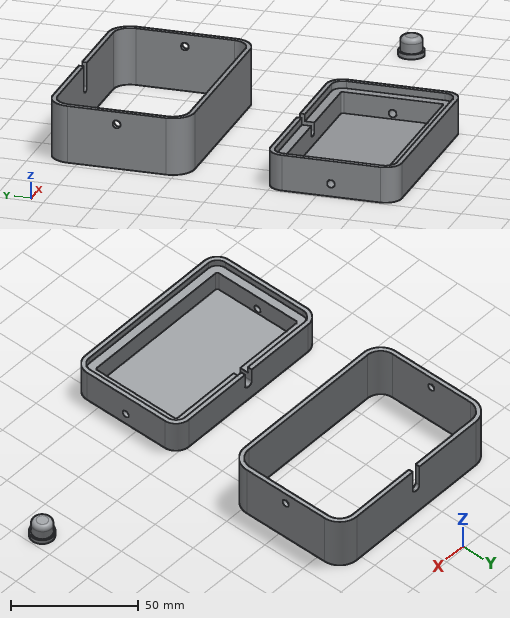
import cadquery as cq

TRAY_LENGTH = 84.4
TRAY_WIDTH = 54.3
TRAY_HEIGHT = 15.0
TRAY_CORNER_RADIUS = 6.8
LIP_THICKNESS = 2.0
LEDGE_DEPTH = 3.0
POCKET_WALL = 6.0
POCKET_CORNER_RADIUS = 1.0
FLOOR_THICKNESS = 3.0
TRAY_PIN_HOLE_Z = 5.4
TRAY_SLOT_DEPTH = 8.0

FRAME_LENGTH = 88.6
FRAME_WIDTH = 58.8
FRAME_HEIGHT = 24.0
FRAME_CORNER_RADIUS = 9.0
FRAME_WALL = 2.0
FRAME_PIN_HOLE_Z = 18.8
FRAME_SLOT_DEPTH = 11.8

PIN_HOLE_DIAMETER = 3.2
SLOT_WIDTH = 4.0
SLOT_CORNER_DIAMETER = 3.6

FLANGE_DIAMETER = 10.6
FLANGE_HEIGHT = 2.0
STEM_DIAMETER = 9.0
BUTTON_HEIGHT = 8.2
BUTTON_ROUNDING = 2.0

OVERALL_LENGTH = 158.0
OVERALL_WIDTH = 145.8
FRAME_SHIFT = 1.9
FRAME_X = FRAME_SHIFT + (FRAME_LENGTH - TRAY_LENGTH) / 2
FRAME_Y = OVERALL_WIDTH - (TRAY_WIDTH + FRAME_WIDTH) / 2
BUTTON_X = OVERALL_LENGTH - (TRAY_LENGTH + FLANGE_DIAMETER) / 2
BUTTON_Y = 16.5


def rounded_block(length, width, height, radius, base_z=0):
    """Upright block with rounded vertical edges."""
    block = cq.Workplane("XY").workplane(offset=base_z).rect(length, width).extrude(height)
    return block.edges("|Z").fillet(radius)


def pin_hole_cutter(length, z):
    """Cylinder along X that pierces both end walls."""
    start = cq.Workplane("YZ").workplane(offset=-length / 2)
    return start.center(0, z).circle(PIN_HOLE_DIAMETER / 2).extrude(length)


def cable_slot_cutter(width, height, depth):
    """Slot with rounded bottom corners through the +Y wall, open at the top."""
    middle = height - depth / 2
    section = cq.Workplane("XZ").center(0, middle).rect(SLOT_WIDTH, depth)
    slot = section.extrude(-width / 2)
    return slot.faces("<Z").edges("|Y").fillet(SLOT_CORNER_DIAMETER / 2)


def make_tray():
    body = rounded_block(TRAY_LENGTH, TRAY_WIDTH, TRAY_HEIGHT, TRAY_CORNER_RADIUS)
    lip_recess = rounded_block(
        TRAY_LENGTH - 2 * LIP_THICKNESS,
        TRAY_WIDTH - 2 * LIP_THICKNESS,
        LEDGE_DEPTH,
        TRAY_CORNER_RADIUS - LIP_THICKNESS,
        TRAY_HEIGHT - LEDGE_DEPTH,
    )
    pocket = rounded_block(
        TRAY_LENGTH - 2 * POCKET_WALL,
        TRAY_WIDTH - 2 * POCKET_WALL,
        TRAY_HEIGHT - FLOOR_THICKNESS,
        POCKET_CORNER_RADIUS,
        FLOOR_THICKNESS,
    )
    body = body.cut(lip_recess).cut(pocket)
    body = body.cut(pin_hole_cutter(TRAY_LENGTH, TRAY_PIN_HOLE_Z))
    return body.cut(cable_slot_cutter(TRAY_WIDTH, TRAY_HEIGHT, TRAY_SLOT_DEPTH))


def make_frame():
    body = rounded_block(FRAME_LENGTH, FRAME_WIDTH, FRAME_HEIGHT, FRAME_CORNER_RADIUS)
    opening = rounded_block(
        FRAME_LENGTH - 2 * FRAME_WALL,
        FRAME_WIDTH - 2 * FRAME_WALL,
        FRAME_HEIGHT,
        FRAME_CORNER_RADIUS - FRAME_WALL,
    )
    body = body.cut(opening)
    body = body.cut(pin_hole_cutter(FRAME_LENGTH, FRAME_PIN_HOLE_Z))
    body = body.cut(cable_slot_cutter(FRAME_WIDTH, FRAME_HEIGHT, FRAME_SLOT_DEPTH))
    return body.translate((FRAME_X, FRAME_Y, 0))


def make_button():
    stem = cq.Workplane("XY").circle(STEM_DIAMETER / 2).extrude(BUTTON_HEIGHT)
    stem = stem.faces(">Z").edges().fillet(BUTTON_ROUNDING)
    flange = cq.Workplane("XY").circle(FLANGE_DIAMETER / 2).extrude(FLANGE_HEIGHT)
    return flange.union(stem).translate((BUTTON_X, BUTTON_Y, 0))


tray = make_tray()
frame = make_frame()
button = make_button()

result = cq.Compound.makeCompound([tray.val(), frame.val(), button.val()])